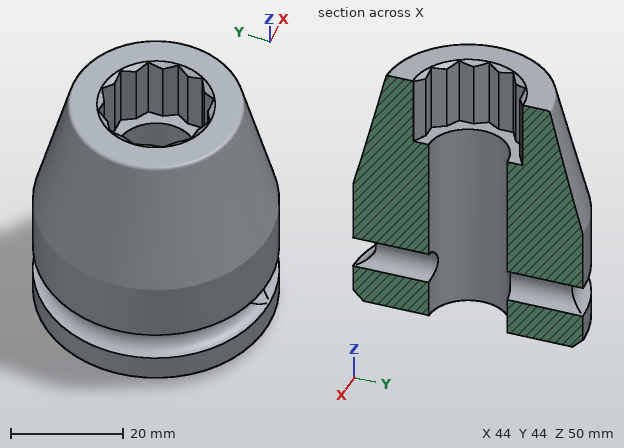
import cadquery as cq
import math

height = 50.0
body_radius = 22.0
shoulder_height = 25.0
nose_radius = 15.65
nose_fillet = 0.7
base_chamfer = 2.0

groove_height = 10.2
groove_radius = 3.0
pin_hole_radius = 3.0

across_flats = 18.0
socket_depth = 13.0
lead_in_radius = 10.55
lead_in_angle = 30.0
bore_radius = 7.5


def make_body():
    profile = (
        cq.Workplane("XZ")
        .lineTo(body_radius - base_chamfer, 0)
        .lineTo(body_radius, base_chamfer)
        .lineTo(body_radius, shoulder_height)
        .lineTo(nose_radius, height)
        .lineTo(0, height)
        .close()
    )
    return profile.revolve(360).faces(">Z").edges().fillet(nose_fillet)


def make_groove():
    return (
        cq.Workplane("XZ")
        .center(body_radius, groove_height)
        .circle(groove_radius)
        .revolve(360, (-body_radius, 0), (-body_radius, 1))
    )


def make_pin_hole():
    return (
        cq.Workplane("XZ")
        .center(0, groove_height)
        .circle(pin_hole_radius)
        .extrude(body_radius, both=True)
    )


def make_socket():
    """Two hexagonal prisms, turned 30 degrees apart, form the twelve points."""
    corner_diameter = across_flats / math.cos(math.radians(30))
    hexagon = (
        cq.Workplane("XY", origin=(0, 0, height - socket_depth))
        .polygon(6, corner_diameter)
        .extrude(socket_depth)
    )
    return hexagon.union(hexagon.rotate((0, 0, 0), (0, 0, 1), 30))


def make_lead_in():
    cone_depth = lead_in_radius * math.tan(math.radians(lead_in_angle))
    return (
        cq.Workplane("XZ")
        .moveTo(0, height)
        .lineTo(lead_in_radius, height)
        .lineTo(0, height - cone_depth)
        .close()
        .revolve(360)
    )


bore = cq.Workplane("XY").circle(bore_radius).extrude(height)

result = (
    make_body()
    .cut(make_groove())
    .cut(make_pin_hole())
    .cut(bore)
    .cut(make_socket())
    .cut(make_lead_in())
)